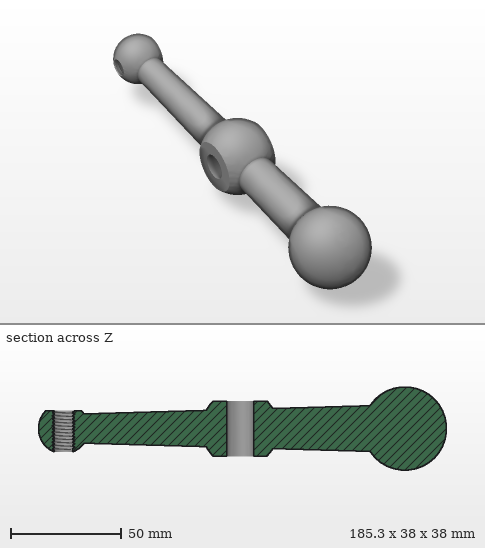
import cadquery as cq

overall_length = 185.3
small_ball_diameter = 23.0
hub_diameter = 35.0
large_ball_diameter = 38.0
small_ball_x = -80.0
large_ball_x = (
    small_ball_x - small_ball_diameter / 2 + overall_length - large_ball_diameter / 2
)

bar_small_diameter = 13.0
bar_large_diameter = 21.9

hub_width = 25.2
hub_bore = 12.0
small_ball_flat_y = 8.2
small_ball_bore = 8.2

thread_major_diameter = 10.0
thread_pitch = 1.5
thread_groove_width = 1.3
thread_overlap = 0.2
thread_end_y = -9.8
thread_turns = 12.9


def ball(diameter, x):
    return cq.Workplane("XY").sphere(diameter / 2).translate((x, 0, 0))


def cylinder_along_y(diameter, x, start_y, end_y):
    return (
        cq.Workplane("XZ", origin=(x, start_y, 0))
        .circle(diameter / 2)
        .extrude(start_y - end_y)
    )


def tapered_bar():
    return (
        cq.Workplane("XY")
        .moveTo(small_ball_x, 0)
        .lineTo(small_ball_x, bar_small_diameter / 2)
        .lineTo(large_ball_x, bar_large_diameter / 2)
        .lineTo(large_ball_x, 0)
        .close()
        .revolve(360, (0, 0, 0), (1, 0, 0))
    )


def thread_groove():
    """Helical V groove that runs out past the flat and fades at the -Y mouth."""
    length = thread_turns * thread_pitch
    bore_radius = small_ball_bore / 2
    inner_radius = bore_radius - thread_overlap
    helix = cq.Wire.makeHelix(thread_pitch, length, bore_radius)
    groove = (
        cq.Workplane("XZ")
        .moveTo(inner_radius, -thread_groove_width / 2)
        .lineTo(thread_major_diameter / 2, 0)
        .lineTo(inner_radius, thread_groove_width / 2)
        .close()
        .sweep(cq.Workplane(obj=helix), isFrenet=True)
    )
    return (
        groove.rotate((0, 0, 0), (1, 0, 0), 90)
        .translate((small_ball_x, thread_end_y + length, 0))
    )


small_ball = ball(small_ball_diameter, small_ball_x).intersect(
    cylinder_along_y(
        small_ball_diameter * 2, small_ball_x, -small_ball_diameter, small_ball_flat_y
    )
)

hub = ball(hub_diameter, 0).intersect(
    cylinder_along_y(hub_diameter * 2, 0, -hub_width / 2, hub_width / 2)
)

lever = (
    tapered_bar()
    .union(small_ball)
    .union(hub)
    .union(ball(large_ball_diameter, large_ball_x))
)

plain_bore = cylinder_along_y(hub_bore, 0, -hub_width, hub_width)
threaded_bore = cylinder_along_y(
    small_ball_bore, small_ball_x, -small_ball_diameter, small_ball_diameter
).union(thread_groove(), clean=False)

result = lever.cut(plain_bore).cut(threaded_bore)